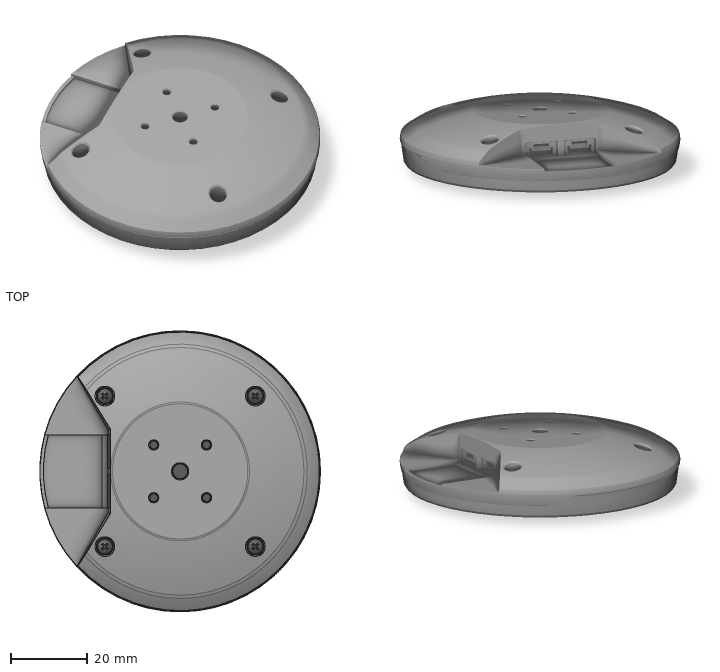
import cadquery as cq
import math

outer_radius = 36.9
total_height = 16.55

crown_radius = 17.8
crown_edge_radius = 18.25
crown_edge_drop = 0.1
cap_mid_radius = 25.4
cap_mid_z = 14.85
cap_radius = 32.6
cap_z = 12.55
shoulder_radius = 33.5
shoulder_z = 12.1
brim_radius = 36.65
brim_z = 10.05
band_top_radius = 36.8
band_top_z = 9.6
band_bottom_z = 8.8
skirt_bottom_radius = 36.4

wall_top_radius = 36.65
wall_bottom_radius = 36.0
wall_bottom_z = 2.95
base_radius = 35.45
base_z = 2.3
dome_radius = 32.5
dome_z = 1.9

seam_high_z = 8.35
seam_high_gap = 0.45
seam_low_z = 5.75
seam_low_gap = 0.15
seam_low_x = -16.25
seam_high_x = -9.6
seam_depth = 0.4

bay_floor_z = 8.95
bay_back_x = -19.05
bay_corner_y = 10.85
bay_side_angle = 60.0
bay_draft = 5.0

channel_width = 19.2
channel_floor_z = 7.5
sill_z = 8.2
rim_radius = 36.0
sill_front_x = -20.6

connector_spacing = 10.5
frame_width = 8.8
frame_top_z = 12.2
frame_depth = 0.6
frame_gap = 0.2
frame_gap_depth = 0.75
foot_gap = 0.45
foot_top_z = 9.6
socket_floor_z = 8.35
socket_width = 6.5
socket_top_z = 9.75
socket_depth = 2.95
ear_width = 0.6
ear_top_z = 10.5
latch_width = 4.35
latch_bottom_z = 10.1
latch_top_z = 11.6
latch_step_z = 10.65
latch_step_depth = 0.75

screw_offset = 19.8
screw_hole_diameter = 4.4
screw_hole_chamfer = 0.4
screw_hole_floor_z = 7.4
screw_head_diameter = 4.0
screw_head_edge_z = 8.1
screw_head_height = 0.9
cross_length = 1.9
cross_width = 0.45
cross_depth = 0.75
mount_offset = 6.95
mount_hole_diameter = 2.1
mount_hole_depth = 3.7
center_hole_diameter = 3.9
center_hole_depth = 5.2
hole_chamfer = 0.3

clearance = 3.7


def box(x0, x1, y0, y1, z0, z1):
    """Box between the given limits."""
    return cq.Workplane("XY").box(x1 - x0, y1 - y0, z1 - z0, centered=False).translate((x0, y0, z0))


def wall_radius(z):
    """Radius of the tapered lower wall at height z."""
    wall_height = seam_high_z - seam_high_gap - wall_bottom_z
    return wall_bottom_radius + (wall_top_radius - wall_bottom_radius) * (z - wall_bottom_z) / wall_height


def side_region(seam_points, end_z):
    """Block over the whole plan, between the seam line and the level end_z."""
    far_x = outer_radius + clearance
    points = seam_points + [(far_x, end_z), (-far_x, end_z)]
    return cq.Workplane("XZ").polyline(points).close().extrude(far_x, both=True)


def seam_line(low_z, high_z):
    """Seam that runs low on the -X side and ramps up to the high level."""
    far_x = outer_radius + clearance
    return [(-far_x, low_z), (seam_low_x, low_z), (seam_high_x, high_z), (far_x, high_z)]


def upper_shell():
    """Domed shell whose rounded skirt starts vertical below the widest band."""
    skirt_height = band_bottom_z - seam_low_z
    skirt_inset = outer_radius - skirt_bottom_radius
    skirt_curve_radius = (skirt_height**2 + skirt_inset**2) / (2 * skirt_inset)
    skirt_mid_z = band_bottom_z - skirt_height / 2
    skirt_curve_center = outer_radius - skirt_curve_radius
    skirt_mid_radius = skirt_curve_center + math.sqrt(skirt_curve_radius**2 - (skirt_height / 2) ** 2)
    solid = (
        cq.Workplane("XZ")
        .moveTo(0, total_height)
        .lineTo(crown_radius, total_height)
        .lineTo(crown_edge_radius, total_height - crown_edge_drop)
        .threePointArc((cap_mid_radius, cap_mid_z), (cap_radius, cap_z))
        .lineTo(shoulder_radius, shoulder_z)
        .lineTo(brim_radius, brim_z)
        .lineTo(band_top_radius, band_top_z)
        .lineTo(outer_radius, band_bottom_z)
        .threePointArc((skirt_mid_radius, skirt_mid_z), (skirt_bottom_radius, seam_low_z))
        .lineTo(0, seam_low_z)
        .close()
        .revolve(360, (0, 0), (0, 1))
    )
    return solid.intersect(side_region(seam_line(seam_low_z, seam_high_z), total_height + clearance))


def lower_body():
    """Tapered body with a shallow spherical underside."""
    top_z = seam_high_z - seam_high_gap
    sphere_radius = (dome_radius**2 + dome_z**2) / (2 * dome_z)
    dome_mid_radius = dome_radius / 2
    dome_mid_z = sphere_radius - math.sqrt(sphere_radius**2 - dome_mid_radius**2)
    solid = (
        cq.Workplane("XZ")
        .moveTo(0, 0)
        .threePointArc((dome_mid_radius, dome_mid_z), (dome_radius, dome_z))
        .lineTo(base_radius, base_z)
        .lineTo(wall_bottom_radius, wall_bottom_z)
        .lineTo(wall_top_radius, top_z)
        .lineTo(0, top_z)
        .close()
        .revolve(360, (0, 0), (0, 1))
    )
    return solid.intersect(side_region(seam_line(seam_low_z - seam_low_gap, top_z), -clearance))


def seam_core():
    """Inner cone that joins the two housings and forms the floor of the seam groove."""
    return (
        cq.Workplane("XZ")
        .moveTo(0, wall_bottom_z)
        .lineTo(wall_bottom_radius - seam_depth, wall_bottom_z)
        .lineTo(wall_radius(band_bottom_z) - seam_depth, band_bottom_z)
        .lineTo(0, band_bottom_z)
        .close()
        .revolve(360, (0, 0), (0, 1))
    )


def bay_cutter():
    """Drafted trapezoid that opens towards -X, down to the bay floor and deeper in the channel."""
    far_x = -outer_radius - clearance
    far_y = bay_corner_y + (bay_back_x - far_x) * math.tan(math.radians(bay_side_angle))
    top_z = total_height + clearance
    corners = [
        (bay_back_x, -bay_corner_y),
        (bay_back_x, bay_corner_y),
        (far_x, far_y),
        (far_x, -far_y),
    ]
    trapezoid = (
        cq.Workplane("XY", origin=(0, 0, channel_floor_z))
        .polyline(corners)
        .close()
        .extrude(top_z - channel_floor_z, taper=-bay_draft)
    )
    half_channel = channel_width / 2
    bay = box(2 * far_x, 0, -2 * far_y, 2 * far_y, bay_floor_z, top_z)
    channel = box(2 * far_x, 0, -half_channel, half_channel, sill_z, top_z)
    floor_recess = (
        box(far_x, sill_front_x, -half_channel, half_channel, channel_floor_z, top_z)
        .intersect(cq.Workplane("XY").circle(rim_radius).extrude(top_z))
    )
    return trapezoid.intersect(bay.union(channel).union(floor_recess))


def connector_cutter(y):
    """Connector mouth: a frame opening round a connector body with a socket and a latch window."""
    mouth_x = bay_back_x
    face_x = mouth_x + frame_depth
    gap_x = face_x + frame_gap_depth
    back_x = face_x + socket_depth
    step_x = face_x + latch_step_depth

    def opening(width, x0, x1, z0, z1):
        return box(x0, x1, y - width / 2, y + width / 2, z0, z1)

    frame = opening(frame_width, mouth_x, gap_x, channel_floor_z, frame_top_z)
    body = opening(frame_width - 2 * frame_gap, face_x, gap_x, foot_top_z, frame_top_z - frame_gap)
    foot = opening(frame_width - 2 * foot_gap, face_x, gap_x, channel_floor_z, foot_top_z)
    socket = opening(socket_width, face_x, back_x, socket_floor_z, ear_top_z)
    lintel = opening(socket_width - 2 * ear_width, face_x, back_x, socket_top_z, ear_top_z)
    latch_front = opening(latch_width, face_x, step_x, latch_bottom_z, latch_top_z)
    latch_back = opening(latch_width, face_x, back_x, latch_step_z, latch_top_z)
    return frame.cut(body).cut(foot).union(socket.cut(lintel)).union(latch_front).union(latch_back)


def crown_hole_cutter(x, y, diameter, depth):
    """Blind hole in the flat crown with a chamfered mouth."""
    radius = diameter / 2
    return (
        cq.Workplane("XZ")
        .moveTo(0, total_height - depth)
        .lineTo(radius, total_height - depth)
        .lineTo(radius, total_height - hole_chamfer)
        .lineTo(radius + hole_chamfer, total_height)
        .lineTo(0, total_height)
        .close()
        .revolve(360, (0, 0), (0, 1))
        .translate((x, y, 0))
    )


def screw_head():
    """Domed screw head with a cross recess, standing on the floor of its hole."""
    radius = screw_head_diameter / 2
    top_z = screw_head_edge_z + screw_head_height
    sphere_radius = (radius**2 + screw_head_height**2) / (2 * screw_head_height)
    mid_radius = radius / 2
    mid_z = top_z - sphere_radius + math.sqrt(sphere_radius**2 - mid_radius**2)
    head = (
        cq.Workplane("XZ")
        .moveTo(0, screw_hole_floor_z)
        .lineTo(radius, screw_hole_floor_z)
        .lineTo(radius, screw_head_edge_z)
        .threePointArc((mid_radius, mid_z), (0, top_z))
        .close()
        .revolve(360, (0, 0), (0, 1))
    )
    for angle in (45, 135):
        slot = cq.Workplane("XY").box(cross_length, cross_width, 2 * cross_depth)
        head = head.cut(slot.rotate((0, 0, 0), (0, 0, 1), angle).translate((0, 0, top_z)))
    return head


def corner_points(offset):
    """Four points of a centered square pattern."""
    return [(x, y) for x in (-offset, offset) for y in (-offset, offset)]


def screw_hole(body, x, y):
    """Cut one screw hole with a chamfered mouth and set the screw head in it."""
    radius = screw_hole_diameter / 2
    drill = cq.Workplane("XY", origin=(x, y, screw_hole_floor_z)).circle(radius).extrude(total_height)
    reach = radius + screw_hole_chamfer
    mouth = cq.selectors.BoxSelector((x - reach, y - reach, shoulder_z), (x + reach, y + reach, total_height))
    drilled = body.cut(drill).edges(mouth).edges("not #Z").chamfer(screw_hole_chamfer)
    return drilled.union(screw_head().translate((x, y, 0)))


result = lower_body().union(seam_core()).union(upper_shell())

for x, y in corner_points(screw_offset):
    result = screw_hole(result, x, y)

result = result.cut(bay_cutter())
for y in (-connector_spacing / 2, connector_spacing / 2):
    result = result.cut(connector_cutter(y))

for x, y in corner_points(mount_offset):
    result = result.cut(crown_hole_cutter(x, y, mount_hole_diameter, mount_hole_depth))
result = result.cut(crown_hole_cutter(0, 0, center_hole_diameter, center_hole_depth))